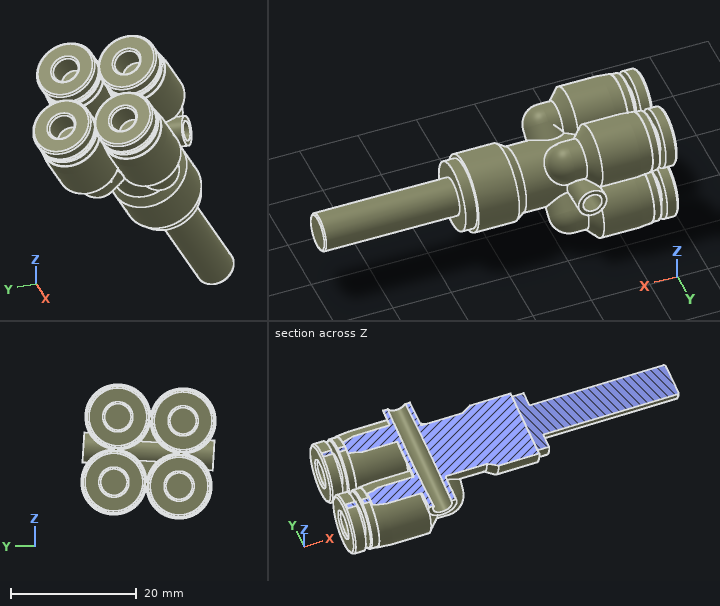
import cadquery as cq
import math


port_pitch = 10.4
pattern_angle = 3.5

cartridge_diameter = 9.8
neck_diameter = 5.2
bore_diameter = 4.2
bore_mouth_diameter = 4.8
button_thickness = 2.0
guide_start = 2.85
guide_end = 4.25
button_edge_chamfer = 0.3
guide_edge_chamfer = 0.2

port_diameter = 10.4
port_mouth_diameter = 10.05
taper_end = 6.4
barrel_end = 12.95
elbow_radius = 3.3
shoulder_end = 14.8
elbow_center = 16.95

trunk_diameter = 11.0
head_diameter = 13.0
trunk_end = 24.2
head_start = 25.8
head_end = 32.75

tube_diameter = 4.8
tube_hole_diameter = 3.2
tube_length = 2 * port_pitch
tube_x = shoulder_end

collar_diameter = 11.6
stem_diameter = 6.35
collar_end = 34.7
overall_length = 57.8
stem_end_chamfer = 0.25


def turned(outline):
    """Revolve a closed (x, radius) outline about the X axis."""
    return cq.Workplane("XY").polyline(outline).close().revolve(360, (0, 0, 0), (1, 0, 0))


def cylinder(diameter, length, start, direction):
    solid = cq.Solid.makeCylinder(diameter / 2, length, cq.Vector(*start), cq.Vector(*direction))
    return cq.Workplane(solid)


def in_pattern(shape):
    """Turn a shape from the square port layout to its final angle."""
    return shape.rotate((0, 0, 0), (1, 0, 0), pattern_angle)


port_centers = [
    (side_y * port_pitch / 2, side_z * port_pitch / 2)
    for side_y in (-1, 1)
    for side_z in (-1, 1)
]


def make_cartridge():
    """Release button, neck and guide ring turned as one piece with a through bore."""
    outer = cartridge_diameter / 2
    neck = neck_diameter / 2
    bore = bore_diameter / 2
    mouth = bore_mouth_diameter / 2
    return turned([
        (0, mouth),
        (0, outer - button_edge_chamfer),
        (button_edge_chamfer, outer),
        (button_thickness, outer),
        (button_thickness, neck),
        (guide_start, neck),
        (guide_start, outer - guide_edge_chamfer),
        (guide_start + guide_edge_chamfer, outer),
        (guide_end, outer),
        (guide_end, bore),
        (mouth - bore, bore),
    ])


def make_port():
    """Tapered barrel, shoulder and domed elbow of one port, centred on the X axis."""
    barrel = port_diameter / 2
    return (
        cq.Workplane("XY")
        .moveTo(guide_end, 0)
        .lineTo(guide_end, port_mouth_diameter / 2)
        .lineTo(taper_end, barrel)
        .lineTo(barrel_end, barrel)
        .lineTo(shoulder_end, elbow_radius)
        .lineTo(elbow_center, elbow_radius)
        .radiusArc((elbow_center + elbow_radius, 0), elbow_radius)
        .close()
        .revolve(360, (0, 0, 0), (1, 0, 0))
    )


def make_branch(y, z):
    """Round arm from the elbow at (y, z) diagonally in to the trunk axis."""
    return cylinder(2 * elbow_radius, math.hypot(y, z), (elbow_center, y, z), (0, -y, -z))


def make_trunk():
    trunk = trunk_diameter / 2
    head = head_diameter / 2
    return turned([
        (barrel_end, 0),
        (barrel_end, trunk),
        (trunk_end, trunk),
        (head_start, head),
        (head_end, head),
        (head_end, 0),
    ])


def make_cross_cylinder(diameter):
    return cylinder(diameter, tube_length, (tube_x, -tube_length / 2, 0), (0, 1, 0))


def make_housing():
    housing = make_trunk()
    for y, z in port_centers:
        housing = housing.union(make_port().translate((0, y, z)))
        housing = housing.union(make_branch(y, z))
    housing = housing.union(make_cross_cylinder(tube_diameter))
    return in_pattern(housing.cut(make_cross_cylinder(tube_hole_diameter)))


def make_stem():
    """Plug-in stem with its collar seated on the end of the housing head."""
    stem = cylinder(stem_diameter, overall_length - collar_end, (collar_end, 0, 0), (1, 0, 0))
    stem = stem.faces(">X").chamfer(stem_end_chamfer)
    collar = cylinder(collar_diameter, collar_end - head_end, (head_end, 0, 0), (1, 0, 0))
    return collar.union(stem)


housing = make_housing()
stem = make_stem()
cartridges = [in_pattern(make_cartridge().translate((0, y, z))) for y, z in port_centers]

result = cq.Compound.makeCompound([
    housing.val(),
    stem.val(),
    *[cartridge.val() for cartridge in cartridges],
])